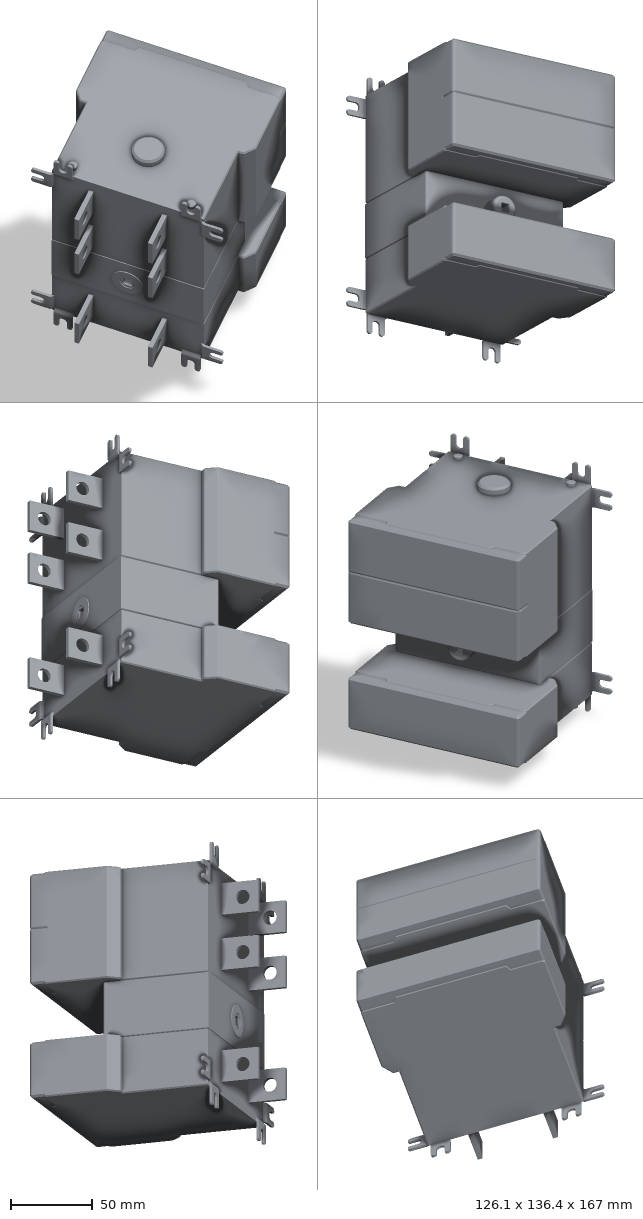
import cadquery as cq
import math

pole_pitch = 35.0
end_wall = 0.5
body_half_height = 71.5
upper_block_bottom = body_half_height - 2 * (pole_pitch + end_wall)
lower_block_top = -body_half_height + pole_pitch + 2 * end_wall
body_half_width = 50.1
wing_half_width = 59.3
body_depth = 112.7

wing_start = 55.5
wing_slant_width = 5.3
wing_slant_depth = 6.7
wing_slant_radius = 1.3
edge_bevel = 0.8

cap_step = 0.5
cap_line_side = 103.9
cap_line_middle = 107.2
cap_line_inner_half = 35.7
cap_line_outer_half = 37.7
cap_start = 101.0
cap_corner_bevel = 1.5
cap_corner_radius = 2.0
cap_edge_bevel = 1.3
seam_half_width = 1.0
seam_depth = 0.7

drive_height = upper_block_bottom - lower_block_top
drive_center_z = (upper_block_bottom + lower_block_top) / 2
drive_front = -0.5
drive_back = 68.1
drive_rear_radius = 1.3
drive_edge_bevel = 0.5
boss_diameter = 20.0
boss_height = 0.7
socket_diameter = 10.0
socket_depth = 0.5
square_size = 6.0
hub_diameter = 16.4
hub_length = 11.7
hub_radius = 2.0

button_diameter = 20.0
button_height = 5.3
button_bevel = 1.3
button_y = 33.4
pin_diameter = 5.7
pin_height = 2.7
pin_bevel_height = 0.3
pin_bevel_width = 0.8
pin_x = 39.0
pin_y = 6.7

terminal_x = 24.2
terminal_heights = (53.1, 18.0, -53.1)
terminal_thickness = 3.0
terminal_height = 20.0
terminal_reach = 23.7
terminal_hole_diameter = 8.9
terminal_hole_y = -13.7

tab_width = 12.4
tab_thickness = 1.7
tab_gap = 0.3
tab_length = 14.9
tab_bend_radius = 2.0
tab_root = 1.7
tab_slot_width = 5.5
tab_slot_depth = 8.9
tab_outer_radius = 1.8
tab_inner_radius = 1.3
end_tab_tip = 83.5
end_tab_x = 42.1
side_tab_span = 126.1
side_tab_tip = side_tab_span / 2
side_tab_z = 62.5


def mirrored_outline(right_side):
    """Close an outline in the XY plane from the points of its +X half."""
    left_side = [(-x, y) for x, y in reversed(right_side)]
    return cq.Workplane("XY").polyline(right_side + left_side).close()


def pole_block(bottom, top):
    """T-shaped block with all but its front edges bevelled, and its rear cap."""
    slant_start = (wing_half_width - wing_slant_width, wing_start)
    slant_end = (wing_half_width, wing_start + wing_slant_depth)
    shell = mirrored_outline([
        (body_half_width, 0),
        (body_half_width, wing_start),
        slant_start,
        slant_end,
        (wing_half_width, cap_line_side - cap_corner_bevel),
        (wing_half_width - cap_corner_bevel, cap_line_side),
        (cap_line_outer_half, cap_line_side),
        (cap_line_inner_half, cap_line_middle),
    ]).extrude(top - bottom)
    for side in (-1, 1):
        for x, y in (slant_start, slant_end):
            corner = cq.selectors.NearestToPointSelector((side * x, y, (top - bottom) / 2))
            shell = shell.edges(corner).fillet(wing_slant_radius)
    bevelled = [edge for edge in shell.faces("<Z or >Z").edges().vals() if edge.Center().y > 0]
    shell = shell.newObject(bevelled).chamfer(edge_bevel)

    cap = (
        cq.Workplane("XY")
        .box(2 * wing_half_width, body_depth - cap_start, top - bottom - 2 * cap_step,
             centered=(True, False, False))
        .translate((0, cap_start, cap_step))
        .edges("|Z and >Y").fillet(cap_corner_radius)
    )
    cap = cap.faces("<Z or >Z").edges("not <Y").chamfer(cap_edge_bevel)
    return shell.union(cap).translate((0, 0, bottom))


def tab():
    """Forked tab along +Z, bent at 45 degrees to enter the front face at the origin."""
    front_face = -tab_gap - tab_thickness
    outer_bend = (front_face, -front_face)
    root_height = tab_thickness * math.sqrt(2)
    inner_bend = (-tab_gap, root_height + tab_gap)
    blade = (
        cq.Workplane("YZ")
        .polyline([
            (tab_root, -tab_root),
            outer_bend,
            (front_face, tab_length),
            (-tab_gap, tab_length),
            inner_bend,
            (tab_root, root_height - tab_root),
        ]).close()
        .extrude(tab_width / 2, both=True)
    )
    blade = blade.edges(cq.selectors.NearestToPointSelector((0, *outer_bend)))
    blade = blade.fillet(tab_bend_radius)
    slot_end_z = tab_length - tab_slot_depth + tab_slot_width / 2
    slot = (
        cq.Workplane("XZ")
        .moveTo(-tab_slot_width / 2, tab_length)
        .lineTo(-tab_slot_width / 2, slot_end_z)
        .threePointArc((0, tab_length - tab_slot_depth), (tab_slot_width / 2, slot_end_z))
        .lineTo(tab_slot_width / 2, tab_length)
        .close()
        .extrude(2 * (tab_gap + tab_thickness), both=True)
    )
    blade = blade.cut(slot)
    outer_corners = blade.faces(">Z").edges("|Y").edges("<X or >X")
    blade = outer_corners.fillet(tab_outer_radius)
    tip_corners = blade.faces(">Z").edges("|Y").vals()
    inner_corners = [
        corner for corner in tip_corners
        if math.isclose(abs(corner.Center().x), tab_slot_width / 2)
    ]
    return blade.newObject(inner_corners).fillet(tab_inner_radius)


def cap_seam():
    """V-groove around the rear of the upper block, where the caps of its two poles meet."""
    v_section = [(0, -seam_half_width), (-seam_depth, 0), (0, seam_half_width)]
    seam_z = body_half_height - end_wall - pole_pitch
    rear = (
        cq.Workplane("YZ")
        .polyline([(body_depth + y, seam_z + z) for y, z in v_section]).close()
        .extrude(wing_half_width, both=True)
    )
    side = (
        cq.Workplane("XZ", origin=(0, cap_start, 0))
        .polyline([(wing_half_width + x, seam_z + z) for x, z in v_section]).close()
        .extrude(cap_start - body_depth)
    )
    return rear.union(side).union(side.mirror("YZ"))


def shaft_cylinder(diameter, start, end):
    """Cylinder on the drive axis between two depths."""
    base = cq.Workplane("XZ", origin=(0, start, drive_center_z))
    return base.circle(diameter / 2).extrude(start - end)


def drive_block():
    """Block between the poles with a front boss and a rear hub."""
    block = (
        cq.Workplane("XY")
        .box(2 * body_half_width, drive_back - drive_front, drive_height, centered=(True, False, True))
        .translate((0, drive_front, drive_center_z))
        .edges("|Z and >Y").fillet(drive_rear_radius)
        .edges("|Y").chamfer(drive_edge_bevel)
    )
    boss = shaft_cylinder(boss_diameter, drive_front - boss_height, drive_front)
    hub = shaft_cylinder(hub_diameter, drive_back, drive_back + hub_length).edges(">Y").fillet(hub_radius)
    return block.union(boss).union(hub)


def drive_opening():
    """Round socket in the boss, continued as a square hole through the hub."""
    mouth = drive_front - boss_height
    socket = shaft_cylinder(socket_diameter, mouth, mouth + socket_depth)
    square = (
        cq.Workplane("XZ", origin=(0, mouth, drive_center_z))
        .rect(square_size, square_size)
        .extrude(mouth - drive_back - hub_length)
    )
    return socket.union(square)


def top_stud(x, y, diameter, height, bevel_height, bevel_width):
    """Bevelled round stud standing on the top face."""
    radius = diameter / 2
    half_section = [
        (0, 0),
        (radius, 0),
        (radius, height - bevel_height),
        (radius - bevel_width, height),
        (0, height),
    ]
    stud = cq.Workplane("XZ").polyline(half_section).close().revolve(360, (0, 0, 0), (0, 1, 0))
    return stud.translate((x, y, body_half_height))


def terminal(x, z):
    """Flat terminal blade with a cross hole."""
    blade = (
        cq.Workplane("XY")
        .box(terminal_thickness, terminal_reach, terminal_height)
        .translate((x, -terminal_reach / 2, z))
    )
    hole = (
        cq.Workplane("YZ", origin=(x, terminal_hole_y, z))
        .circle(terminal_hole_diameter / 2)
        .extrude(terminal_thickness, both=True)
    )
    return blade.cut(hole)


result = pole_block(upper_block_bottom, body_half_height).cut(cap_seam())
result = result.union(pole_block(-body_half_height, lower_block_top))
result = result.union(drive_block()).cut(drive_opening())

result = result.union(top_stud(0, button_y, button_diameter, button_height, button_bevel, button_bevel))
for side in (-1, 1):
    pin = top_stud(side * pin_x, pin_y, pin_diameter, pin_height, pin_bevel_height, pin_bevel_width)
    result = result.union(pin)

for side in (-1, 1):
    for height in terminal_heights:
        result = result.union(terminal(side * terminal_x, height))

end_tab = tab().translate((end_tab_x, 0, end_tab_tip - tab_length))
side_tab = tab().rotate((0, 0, 0), (0, 1, 0), 90).translate((side_tab_tip - tab_length, 0, side_tab_z))
for corner_tab in (end_tab, side_tab):
    for mirrored_tab in (corner_tab, corner_tab.mirror("YZ")):
        result = result.union(mirrored_tab).union(mirrored_tab.mirror("XY"))